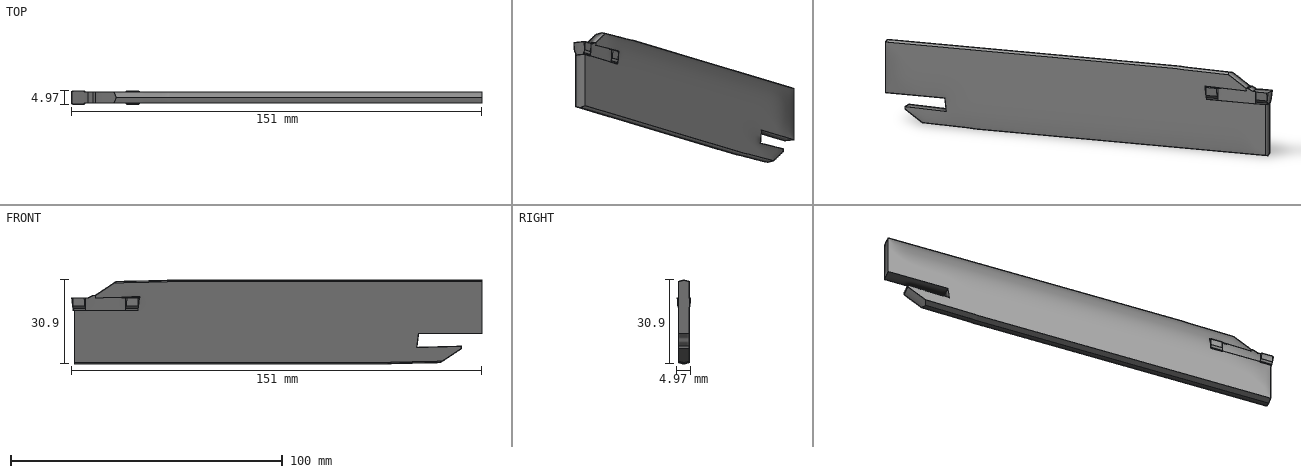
import cadquery as cq
import math


blade_length = 150.0
blade_height = 30.93
blade_thickness = 4.1
edge_slope = 15.0

half_length = blade_length / 2
half_height = blade_height / 2
half_thickness = blade_thickness / 2

seat_floor = 4.3
end_angle = 7.0
jaw_tip_x = -67.3
jaw_tip_bottom = 8.86
jaw_tip_top = 9.82
jaw_bottom_slope = 1.5
jaw_ramp_angle = 33.5

relief_slope = 1.15
runout_start_x = -42.6
runout_length = 2.7
runout_radius = 30.0

insert_front_x = -half_length - 1.0
insert_top = 8.9
insert_length = 24.95
insert_width = 4.97
head_length = 4.6
shoulder_run = 0.45
head_flank_bottom = 5.85
head_flank_width = 4.5
head_foot_top = 4.9
head_foot_width = 3.5
corner_along = 0.45
corner_across = 0.3
hump_start = 6.1
hump_run = 1.8
hump_clip = 0.6

jaw_slope = math.tan(math.radians(jaw_bottom_slope))
end_lean = math.tan(math.radians(end_angle))
insert_back_x = insert_front_x + insert_length
insert_middle_x = insert_front_x + insert_length / 2
half_width = insert_width / 2
head_root = head_length + shoulder_run


def jaw_bottom(x):
    return jaw_tip_bottom + (x - jaw_tip_x) * jaw_slope


def seat_back_x(z):
    return insert_back_x - (insert_top - z) * end_lean


def extrude_both(points, thickness):
    """Extrude an XZ outline to a thickness centred on Y = 0."""
    return cq.Workplane("XZ").polyline(points).close().extrude(thickness / 2, both=True)


def half_turn(body):
    return body.rotate((0, 0, 0), (0, 1, 0), 180)



def make_seat_cutter():
    """Insert slot together with the open space above the jaw's ramp."""
    ramp_rise = half_height - jaw_tip_top
    ramp_top_x = jaw_tip_x + ramp_rise / math.tan(math.radians(jaw_ramp_angle))
    ceiling_above_insert = jaw_bottom(insert_back_x) - insert_top
    seat_back_top_x = insert_back_x + ceiling_above_insert * end_lean / (1 - jaw_slope * end_lean)
    return extrude_both(
        [
            (-half_length, seat_floor),
            (seat_back_x(seat_floor), seat_floor),
            (seat_back_top_x, jaw_bottom(seat_back_top_x)),
            (jaw_tip_x, jaw_tip_bottom),
            (jaw_tip_x, jaw_tip_top),
            (ramp_top_x, half_height),
            (-half_length, half_height),
        ],
        blade_thickness,
    )


def make_edge_cutter():
    """Material above the V-shaped top edge: the ridge curve swept down to both sides."""
    start_angle = math.radians(relief_slope)
    end_sine = math.sin(start_angle) + runout_length / runout_radius
    end_tilt = math.asin(end_sine)
    middle_tilt = (start_angle + end_tilt) / 2

    def runout_point(tilt):
        x = runout_start_x + runout_radius * (math.sin(tilt) - math.sin(start_angle))
        z = half_height - runout_radius * (math.cos(tilt) - math.cos(end_tilt))
        return (x, z)

    runout_start = runout_point(start_angle)
    relief_drop = (runout_start_x + half_length) * math.tan(start_angle)
    cutter_top = half_height + blade_thickness
    ridge_wire = (
        cq.Workplane("XZ")
        .moveTo(-half_length, runout_start[1] - relief_drop)
        .lineTo(*runout_start)
        .threePointArc(runout_point(middle_tilt), runout_point(end_tilt))
        .lineTo(half_length, half_height)
        .lineTo(half_length, cutter_top)
        .lineTo(-half_length, cutter_top)
        .close()
        .val()
    )
    edge_drop = half_thickness * math.tan(math.radians(edge_slope))
    sides = [
        cq.Solid.extrudeLinear(ridge_wire, [], cq.Vector(0, side * half_thickness, -edge_drop))
        for side in (-1, 1)
    ]
    return cq.Workplane(sides[0]).union(cq.Workplane(sides[1]))


def make_blade():
    blade = cq.Workplane("XY").box(blade_length, blade_thickness, blade_height)
    for cutter in (make_seat_cutter(), make_edge_cutter()):
        blade = blade.cut(cutter).cut(half_turn(cutter))
    return blade



def make_waist():
    """Middle of the insert: a chip-breaker hump, then the face clamped by the jaw."""
    front_x = insert_front_x + head_root
    back_x = insert_back_x - head_root
    hump_back_x = insert_back_x - hump_start
    hump_top_x = hump_back_x - hump_clip
    return extrude_both(
        [
            (front_x, seat_floor),
            (back_x, seat_floor),
            (back_x, insert_top),
            (hump_back_x, insert_top),
            (hump_top_x, jaw_bottom(hump_top_x)),
            (jaw_tip_x, jaw_tip_bottom),
            (jaw_tip_x, jaw_tip_top),
            (insert_front_x + hump_start + hump_run, jaw_tip_top),
            (insert_front_x + hump_start, insert_top),
            (front_x, insert_top),
        ],
        blade_thickness,
    )


def make_front_head():
    """Cutting head: bevelled corners and undercut sides, standing proud of the waist."""
    height = insert_top - seat_floor
    root_x = insert_front_x + head_root
    half_flank = head_flank_width / 2
    half_foot = head_foot_width / 2
    cross_section = (
        cq.Workplane("YZ", origin=(insert_front_x, 0, 0))
        .polyline(
            [
                (-half_width, insert_top),
                (-half_flank, head_flank_bottom),
                (-half_foot, head_foot_top),
                (-half_foot, seat_floor),
                (half_foot, seat_floor),
                (half_foot, head_foot_top),
                (half_flank, head_flank_bottom),
                (half_width, insert_top),
            ]
        )
        .close()
        .extrude(root_x - insert_front_x)
    )
    shoulder_x = insert_front_x + head_length

    front_plan = [
        (insert_front_x, half_width - corner_across),
        (insert_front_x + corner_along, half_width),
        (root_x + height, half_width),
    ]
    front_wire = cq.Wire.makePolygon(
        [cq.Vector(x, y, insert_top) for x, y in front_plan]
        + [cq.Vector(x, -y, insert_top) for x, y in reversed(front_plan)],
        close=True,
    )
    leaning_prism = cq.Solid.extrudeLinear(front_wire, [], cq.Vector(height * end_lean, 0, -height))
    shoulder_plan = [(insert_front_x, half_width), (shoulder_x, half_width), (root_x, half_thickness)]
    shoulder_prism = (
        cq.Workplane("XY", origin=(0, 0, seat_floor))
        .polyline(shoulder_plan + [(x, -y) for x, y in reversed(shoulder_plan)])
        .close()
        .extrude(height)
    )
    return cross_section.intersect(cq.Workplane(leaning_prism)).intersect(shoulder_prism)


def make_insert():
    front_head = make_front_head()
    back_head = front_head.mirror("YZ", (insert_middle_x, 0, 0))
    return make_waist().union(front_head).union(back_head)


blade = make_blade()
insert = make_insert()
result = cq.Compound.makeCompound([blade.val(), insert.val()])